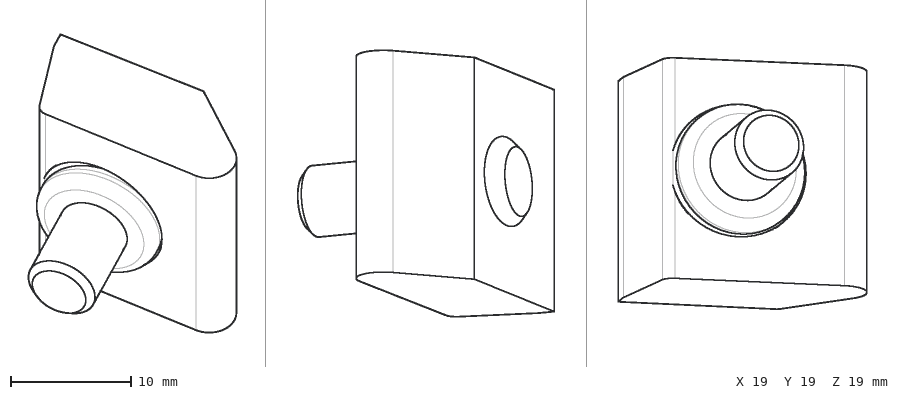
import cadquery as cq
import math

depth = 19.0
block_height = 19.0

left_x = -7.6
left_flat = 1.47
left_slope = 12
lower_slope = 7
top_corner_x = 5.89
top_drop = 1.49
nose_radius = 2.29
nose_x = left_x + 19.05 - nose_radius
nose_y = 10.67
heel_radius = 1.0

pin_diameter = 6.0
pin_chamfer = 0.6
washer_diameter = 11.0
washer_start = 7.7
washer_rounding = 1.01
washer_land = 0.45
washer_height = 2 * washer_rounding + washer_land
washer_end = washer_start + washer_height
recess_diameter = 11.37

head_end_radius = 2.91
head_length = 1.71


def nose_point(angle):
    """Point on the nose circle at an angle in degrees from +X."""
    a = math.radians(angle)
    return nose_x + nose_radius * math.cos(a), nose_y + nose_radius * math.sin(a)


def cylinder_along_y(diameter, start, length):
    plane = cq.Workplane("XZ", origin=(0, start, 0))
    return plane.circle(diameter / 2).extrude(-length)


def make_block():
    top_corner = (top_corner_x, depth - top_drop)
    kink = (left_x, depth - left_flat)

    dx = top_corner[0] - nose_x
    dy = top_corner[1] - nose_y
    to_corner = math.degrees(math.atan2(dy, dx))
    spread = math.degrees(math.acos(nose_radius / math.hypot(dx, dy)))
    nose_upper_angle = to_corner - spread
    nose_lower_angle = -90 - lower_slope
    nose_lower = nose_point(nose_lower_angle)

    left_tan = math.tan(math.radians(left_slope))
    lower_tan = math.tan(math.radians(lower_slope))
    lower_y_at_left = nose_lower[1] + (nose_lower[0] - left_x) * lower_tan
    heel_drop = (kink[1] - lower_y_at_left) / (1 - left_tan * lower_tan)
    heel = (left_x + heel_drop * left_tan, kink[1] - heel_drop)

    block = (
        cq.Workplane("XY", origin=(0, 0, -block_height / 2))
        .moveTo(left_x, depth)
        .lineTo(*top_corner)
        .lineTo(*nose_point(nose_upper_angle))
        .threePointArc(nose_point((nose_upper_angle + nose_lower_angle) / 2), nose_lower)
        .lineTo(*heel)
        .lineTo(*kink)
        .close()
        .extrude(block_height)
    )
    heel_edge = cq.selectors.NearestToPointSelector((*heel, 0))
    return block.edges(heel_edge).fillet(heel_radius)


def make_recess():
    """Round seat cut into the lower face, with its floor on the washer's end."""
    return cylinder_along_y(recess_diameter, 0, washer_end)


def make_washer():
    washer = cylinder_along_y(washer_diameter, washer_start, washer_height)
    return washer.edges().fillet(washer_rounding)


def make_pin():
    return cylinder_along_y(pin_diameter, 0, washer_end).faces("<Y").chamfer(pin_chamfer)


def make_head():
    """45 degree cone that narrows toward +Y and is sunk into the top face."""
    base_radius = head_end_radius + head_length
    return cq.Workplane(
        cq.Solid.makeCone(
            base_radius,
            head_end_radius,
            head_length,
            cq.Vector(0, depth - head_length, 0),
            cq.Vector(0, 1, 0),
        )
    )


result = make_block().cut(make_recess()).union(make_washer()).union(make_pin()).union(make_head())